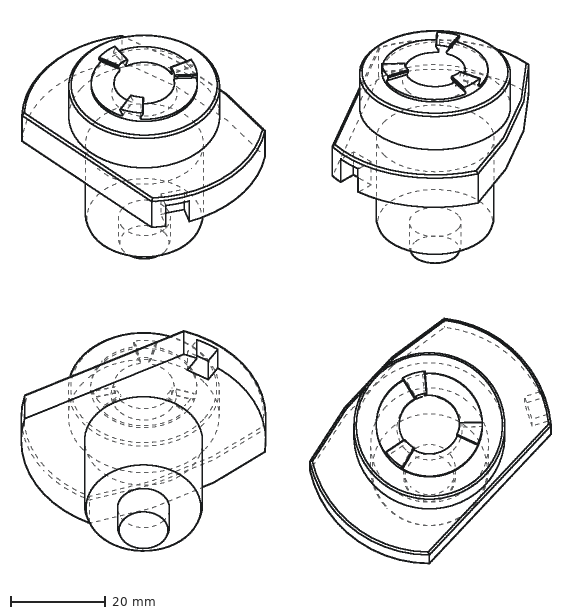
import cadquery as cq
import math

flange_radius = 25.95
flange_half_depth = 17.5
flange_height = 8.0
flange_chamfer = 0.5
crest_half_width = 7.45
crest_corner_y = 15.0

slot_angle = -30.0
slot_width = 5.2
slot_depth = 4.0
slot_height = 5.95

head_diameter = 32.0
head_top = 17.0
head_chamfer = 0.5
ring_diameter = 22.5
ring_top = 17.65

body_diameter = 25.0
body_length = 21.5
pin_diameter = 11.0
pin_end = 28.6
lead_in_length = 1.05
lead_in_depth = 0.3

bore_radius = 12.8 / 2
bore_depth = 3.35
bore_lip_height = 0.3
bore_undercut = 0.5
bore_fillet = 0.5

jaw_count = 3
jaw_first_angle = 60.0
jaw_height = 1.85
jaw_half_angle = 13.0
jaw_bevel_height = 0.3
jaw_bevel_depth = 0.15
jaw_waist_inset = 0.6
jaw_foot_radius = 0.4
trim_margin = 1.3


def make_flange():
    """Plate with round ends, a straight -Y edge and a crowned +Y edge."""
    base_x = math.sqrt(flange_radius**2 - flange_half_depth**2)
    corner_x = math.sqrt(flange_radius**2 - crest_corner_y**2)
    plate = (
        cq.Workplane("XY")
        .moveTo(-base_x, -flange_half_depth)
        .lineTo(base_x, -flange_half_depth)
        .threePointArc((flange_radius, 0), (corner_x, crest_corner_y))
        .lineTo(crest_half_width, flange_half_depth)
        .lineTo(-crest_half_width, flange_half_depth)
        .lineTo(-corner_x, crest_corner_y)
        .threePointArc((-flange_radius, 0), (-base_x, -flange_half_depth))
        .close()
        .extrude(flange_height)
        .faces(">Z")
        .chamfer(flange_chamfer)
    )
    return plate.cut(make_slot_cutter())


def make_slot_cutter():
    """Block for the radial locating slot, open at the rim and underneath."""
    floor_distance = flange_radius - slot_depth
    return (
        cq.Workplane("XY")
        .box(2 * slot_depth, slot_width, slot_height, centered=(False, True, False))
        .translate((floor_distance, 0, 0))
        .rotate((0, 0, 0), (0, 0, 1), slot_angle)
    )


def make_cylinder(diameter, bottom, top):
    return cq.Workplane("XY").workplane(offset=bottom).circle(diameter / 2).extrude(top - bottom)


def make_tapered_cylinder(diameter, bottom, top):
    """Cylinder with a slim lead-in cone around its lower end."""
    radius = diameter / 2
    return (
        cq.Workplane("XZ")
        .moveTo(0, bottom)
        .lineTo(radius - lead_in_depth, bottom)
        .lineTo(radius, bottom + lead_in_length)
        .lineTo(radius, top)
        .lineTo(0, top)
        .close()
        .revolve(360, (0, 0), (0, 1))
    )


def make_bore():
    """Blind bore with a short lip, an outward-leaning wall and a rounded floor edge."""
    wall_radius = bore_radius + bore_undercut
    jaw_top = ring_top + jaw_height
    floor_z = ring_top - bore_depth
    arc_offset = bore_fillet * math.sqrt(0.5)
    return (
        cq.Workplane("XZ")
        .moveTo(0, floor_z)
        .lineTo(wall_radius - bore_fillet, floor_z)
        .threePointArc(
            (wall_radius - bore_fillet + arc_offset, floor_z + bore_fillet - arc_offset),
            (wall_radius, floor_z + bore_fillet),
        )
        .lineTo(bore_radius, ring_top - bore_lip_height)
        .lineTo(bore_radius, jaw_top)
        .lineTo(0, jaw_top)
        .close()
        .revolve(360, (0, 0), (0, 1))
    )


def make_jaw_section(radius):
    """Waisted jaw outline with rounded feet, square to +X at the given radius."""
    widest = radius * math.tan(math.radians(jaw_half_angle))
    waist = widest - jaw_waist_inset
    foot = waist + jaw_foot_radius
    crest = widest - jaw_bevel_depth
    arc_offset = jaw_foot_radius * math.sqrt(0.5)
    jaw_top = ring_top + jaw_height
    bevel_z = jaw_top - jaw_bevel_height
    waist_z = ring_top + jaw_foot_radius
    section = (
        cq.Workplane("YZ", origin=(radius, 0, 0))
        .moveTo(-foot, head_top)
        .lineTo(foot, head_top)
        .lineTo(foot, ring_top)
        .threePointArc((foot - arc_offset, waist_z - arc_offset), (waist, waist_z))
        .lineTo(widest, bevel_z)
        .lineTo(crest, jaw_top)
        .lineTo(-crest, jaw_top)
        .lineTo(-widest, bevel_z)
        .lineTo(-waist, waist_z)
        .threePointArc((arc_offset - foot, waist_z - arc_offset), (-foot, ring_top))
        .close()
    )
    return section.val()


def make_crown():
    """Ring and its jaws, which narrow toward the axis, trimmed to one outer cylinder."""
    inner = make_jaw_section(bore_radius - trim_margin)
    outer = make_jaw_section(ring_diameter / 2 + trim_margin)
    jaw = cq.Workplane(cq.Solid.makeLoft([inner, outer], True))
    crown = make_cylinder(ring_diameter + 2 * trim_margin, head_top, ring_top)
    for index in range(jaw_count):
        angle = jaw_first_angle + index * 360 / jaw_count
        crown = crown.union(jaw.rotate((0, 0, 0), (0, 0, 1), angle))
    return crown.intersect(make_cylinder(ring_diameter, head_top, ring_top + jaw_height))


head = make_cylinder(head_diameter, flange_height, head_top).faces(">Z").chamfer(head_chamfer)
body = make_tapered_cylinder(body_diameter, -body_length, 0)
pin = make_tapered_cylinder(pin_diameter, -pin_end, -body_length)

result = make_flange().union(head).union(body).union(pin).union(make_crown()).cut(make_bore())